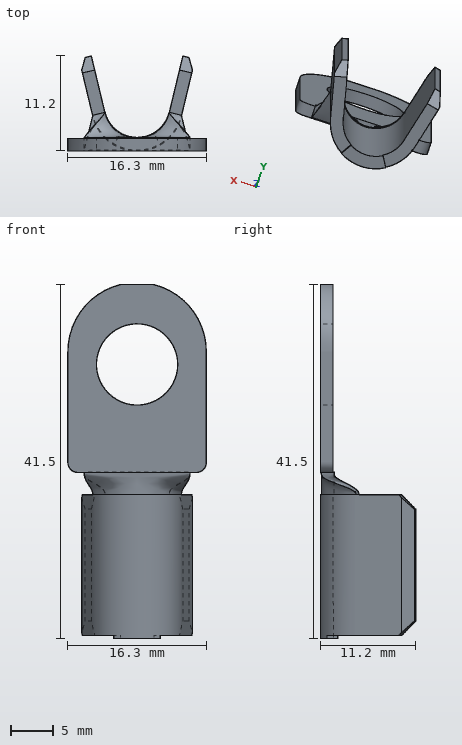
import cadquery as cq
import math


sheet = 1.5
total_height = 41.53
total_depth = 11.18

tongue_width = 16.26
tongue_bottom = 19.47
tongue_corner_radius = 1.2
tongue_flat_width = 3.9
hole_diameter = 9.5
hole_height = 32.15

barrel_radius = 5.35
barrel_inner_radius = barrel_radius - sheet
barrel_bottom = 0.36
barrel_top = 16.88
wing_lean = math.radians(13.5)
wing_bevel_length = 1.35
wing_tip_thickness = sheet / 2
wing_end_chamfer = 1.7
tab_half_angle = math.radians(30.8)

neck_setback = 0.12
neck_top_half_width = 6.2
neck_top_rise = 0.02
neck_flat_fraction = 0.88
neck_sections = 7
neck_overlap = 0.1


def polar(radius, angle):
    """Barrel cross-section point at an angle measured from straight down to the front face."""
    return radius * math.sin(angle), barrel_radius - radius * math.cos(angle)


def mirrored(point):
    return -point[0], point[1]


def plan(height):
    """Workplane parallel to XY whose local axes match X and Y."""
    return cq.Workplane("XY", origin=(0, 0, height))


def make_tongue():
    half_width = tongue_width / 2
    half_flat = tongue_flat_width / 2
    arc_center = total_height - math.sqrt(half_width**2 - half_flat**2)
    arc_mid_angle = math.acos(half_flat / half_width) / 2
    arc_mid = (half_width * math.cos(arc_mid_angle), arc_center + half_width * math.sin(arc_mid_angle))
    blank = (
        cq.Workplane("XZ")
        .moveTo(-half_width, tongue_bottom)
        .lineTo(half_width, tongue_bottom)
        .lineTo(half_width, arc_center)
        .threePointArc(arc_mid, (half_flat, total_height))
        .lineTo(-half_flat, total_height)
        .threePointArc(mirrored(arc_mid), (-half_width, arc_center))
        .close()
        .extrude(-sheet)
    )
    lower_corners = cq.selectors.BoxSelector(
        (-tongue_width, -sheet, tongue_bottom - sheet),
        (tongue_width, 2 * sheet, tongue_bottom + sheet),
    )
    blank = blank.edges("|Y").edges(lower_corners).fillet(tongue_corner_radius)
    hole = cq.Workplane("XZ").center(0, hole_height).circle(hole_diameter / 2).extrude(-sheet)
    return blank.cut(hole)


def make_barrel():
    arc_half_angle = math.pi / 2 - wing_lean
    outer_start = polar(barrel_radius, arc_half_angle)
    inner_start = polar(barrel_inner_radius, arc_half_angle)
    wing_length = (total_depth - inner_start[1]) / math.cos(wing_lean)

    def along_wing(distance, depth):
        """Point on the +X wing, given its distance past the arc and depth below the outer face."""
        return (
            outer_start[0] + distance * math.sin(wing_lean) - depth * math.cos(wing_lean),
            outer_start[1] + distance * math.cos(wing_lean) + depth * math.sin(wing_lean),
        )

    bevel_start = along_wing(wing_length - wing_bevel_length, 0)
    tip_outer = along_wing(wing_length, sheet - wing_tip_thickness)
    tip_inner = along_wing(wing_length, sheet)
    section = (
        plan(barrel_bottom)
        .moveTo(*mirrored(outer_start))
        .threePointArc((0, 0), outer_start)
        .lineTo(*bevel_start)
        .lineTo(*tip_outer)
        .lineTo(*tip_inner)
        .lineTo(*inner_start)
        .threePointArc((0, sheet), mirrored(inner_start))
        .lineTo(*mirrored(tip_inner))
        .lineTo(*mirrored(tip_outer))
        .lineTo(*mirrored(bevel_start))
        .close()
    )
    barrel = section.extrude(barrel_top - barrel_bottom)
    wing_plane = cq.Plane(
        origin=(*outer_start, 0),
        xDir=(math.sin(wing_lean), math.cos(wing_lean), 0),
        normal=(math.cos(wing_lean), -math.sin(wing_lean), 0),
    )
    for end_height, inward in ((barrel_bottom, 1), (barrel_top, -1)):
        corner = (
            cq.Workplane(wing_plane)
            .moveTo(wing_length, end_height)
            .lineTo(wing_length - wing_end_chamfer, end_height)
            .lineTo(wing_length, end_height + inward * wing_end_chamfer)
            .close()
            .extrude(sheet, both=True)
        )
        barrel = barrel.cut(corner).cut(corner.mirror("YZ"))
    return barrel


def make_tab():
    """Cut-off tab below the barrel, bounded by radial sides."""
    outer_end = polar(barrel_radius, tab_half_angle)
    inner_end = polar(barrel_inner_radius, tab_half_angle)
    return (
        plan(0)
        .moveTo(*mirrored(outer_end))
        .threePointArc((0, 0), outer_end)
        .lineTo(*inner_end)
        .threePointArc((0, sheet), mirrored(inner_end))
        .close()
        .extrude(barrel_bottom)
    )


def neck_wire(fraction):
    """Closed neck section; fraction runs from 0 (barrel curve) to 1 (nearly flat strip)."""
    progress = min(1, fraction / neck_flat_fraction)
    opening = (1 - math.cos(math.pi * progress)) / 2
    base_half_width, base_rise = polar(barrel_radius, math.pi / 2 - wing_lean)
    half_width = base_half_width + (neck_top_half_width - base_half_width) * opening
    rise = base_rise + (neck_top_rise - base_rise) * opening
    bend = 2 * math.atan(rise / half_width)
    outer_end = (half_width, neck_setback + rise)
    inner_end = (half_width - sheet * math.sin(bend), outer_end[1] + sheet * math.cos(bend))
    height = barrel_top + fraction * (tongue_bottom + neck_overlap - barrel_top)
    return (
        plan(height)
        .moveTo(*mirrored(outer_end))
        .threePointArc((0, neck_setback), outer_end)
        .lineTo(*inner_end)
        .threePointArc((0, neck_setback + sheet), mirrored(inner_end))
        .close()
        .val()
    )


def make_neck():
    wires = [neck_wire(index / (neck_sections - 1)) for index in range(neck_sections)]
    return cq.Workplane(cq.Solid.makeLoft(wires))


result = make_tongue().union(make_neck()).union(make_barrel()).union(make_tab())